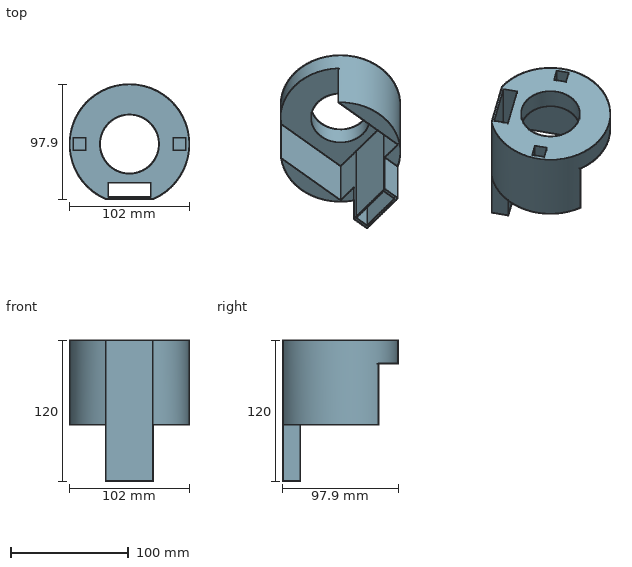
import cadquery as cq

outer_diameter = 102.0
total_height = 120.0
flat_y = -46.9

leg_length = 48.0
leg_width = 40.5
leg_back_y = -32.2

bore_diameter = 50.0
rim_height = 20.0
cavity_width = 75.0

slot_width = 36.0
slot_depth = 12.0
slot_center_y = -39.0

pocket_side = 10.5
pocket_depth = 15.0
pocket_offset = 42.6

outer_radius = outer_diameter / 2


def block(width, front_y, back_y, bottom_z, top_z):
    """Box centred on X, between the given Y and Z limits."""
    return (
        cq.Workplane("XY")
        .box(width, back_y - front_y, top_z - bottom_z, centered=(True, False, False))
        .translate((0, front_y, bottom_z))
    )


def make_blank():
    """Full-height cylinder, trimmed by the front flat."""
    cylinder = cq.Workplane("XY").circle(outer_radius).extrude(total_height)
    return cylinder.intersect(block(outer_diameter, flat_y, outer_radius, 0, total_height))


def make_envelope():
    """Space kept from the blank: the body above, and the narrow leg below it."""
    body = block(outer_diameter, flat_y, outer_radius, leg_length, total_height)
    leg = block(leg_width, flat_y, leg_back_y, 0, leg_length)
    return body.union(leg)


def make_bore():
    """Round hole through the body, running into the cavity."""
    return cq.Workplane("XY").workplane(offset=leg_length).circle(bore_diameter / 2).extrude(total_height)


def make_cavity():
    """Straight-sided recess below the rim, flush with the back face of the leg."""
    return block(cavity_width, leg_back_y, outer_radius, leg_length, total_height - rim_height)


def make_slot():
    """Rectangular channel through the whole height."""
    return cq.Workplane("XY").center(0, slot_center_y).rect(slot_width, slot_depth).extrude(total_height)


def make_pockets():
    """Two blind square pockets, one on each side of the bore."""
    return (
        cq.Workplane("XY")
        .workplane(offset=total_height)
        .pushPoints([(-pocket_offset, 0), (pocket_offset, 0)])
        .rect(pocket_side, pocket_side)
        .extrude(-pocket_depth)
    )


result = make_blank().intersect(make_envelope())
for opening in (make_bore(), make_cavity(), make_slot(), make_pockets()):
    result = result.cut(opening)